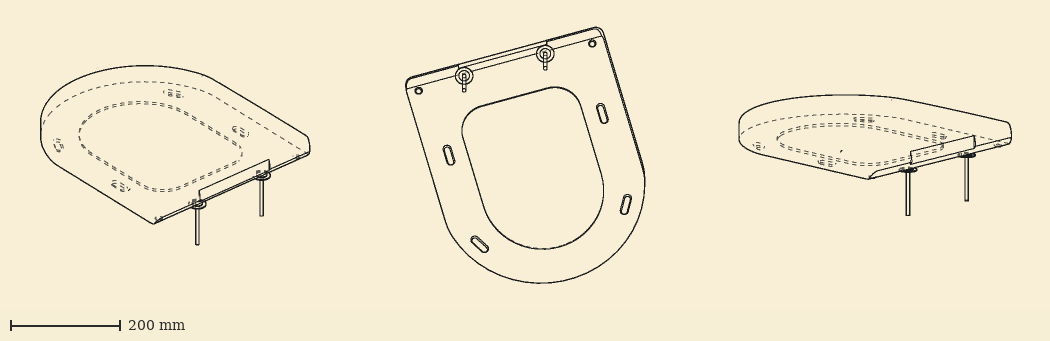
import cadquery as cq
import math


LENGTH = 445.0
WIDTH = 373.8
HEIGHT = 133.0

FRONT_RADIUS = 190.0
FLANK_RADIUS = 111.2
HALF_WIDTH = WIDTH / 2
REAR_X = LENGTH - FRONT_RADIUS
REAR_CORNER_RADIUS = 14.2

LID_HEIGHT = 45.5
CROWN_LENGTH_RADIUS = 9566.5
CROWN_WIDTH_RADIUS = 4894.5
CROWN_PEAK_X = 193.5
CROWN_DEPTH = 89.0
CROWN_HALF_ANGLE = 5.0
TOP_FILLET = 8.0
REAR_BULGE_RADIUS = 45.5
REAR_BULGE_Z = 18.0
UNDERCUT_TOP_Z = 16.0
UNDERCUT_BOTTOM_X = 243.0

RECESS_X = 251.5
RECESS_HALF_WIDTH = 83.5

FOOT_TIP_DIAMETER = 10.0
FOOT_BASE_DIAMETER = 13.5
FOOT_HEIGHT = 2.5
FOOT_X = 233.5
FOOT_Y = 164.5

SEAT_LENGTH = 298.0
SEAT_WIDTH = 223.5
SEAT_THICKNESS = 4.5
SEAT_FRONT_X = -123.5
SEAT_REAR_RADIUS = 49.0

PIN_DIAMETER = 6.5
FLANGE_DIAMETER = 32.0
HINGE_X = REAR_X - FLANGE_DIAMETER / 2
HINGE_Y = 77.0
FLANGE_BOTTOM_Z = -3.0
FLANGE_TOP_Z = -1.5
HUB_DIAMETER = 19.5
PIN_BOTTOM_Z = LID_HEIGHT - HEIGHT

BUMPER_LENGTH = 39.0
BUMPER_WIDTH = 14.5
BUMPER_TAPER = 25.0
BUMPER_HEIGHT = SEAT_THICKNESS
REAR_BUMPER_X = 99.5
REAR_BUMPER_Y = 145.5
FRONT_BUMPER_RADIUS = 160.0
FRONT_BUMPER_TILT = 30.0


def lid_outline():
    """D-shaped prism, with the flank arcs tangent to the front arc and to the straight sides."""
    flank_y = HALF_WIDTH - FLANK_RADIUS
    flank_distance = FRONT_RADIUS - FLANK_RADIUS
    flank_x = -math.sqrt(flank_distance**2 - flank_y**2)
    joint_x = flank_x * FRONT_RADIUS / flank_distance
    joint_y = flank_y * FRONT_RADIUS / flank_distance
    return (
        cq.Workplane("XY")
        .moveTo(REAR_X, HALF_WIDTH)
        .lineTo(flank_x, HALF_WIDTH)
        .tangentArcPoint((joint_x, joint_y), relative=False)
        .threePointArc((-FRONT_RADIUS, 0), (joint_x, -joint_y))
        .tangentArcPoint((flank_x, -HALF_WIDTH), relative=False)
        .lineTo(REAR_X, -HALF_WIDTH)
        .close()
        .extrude(LID_HEIGHT)
    )


def bulge_x(z):
    """X of the bulged rear face at height z."""
    return REAR_X - REAR_BULGE_RADIUS + math.sqrt(REAR_BULGE_RADIUS**2 - (z - REAR_BULGE_Z) ** 2)


def rear_profile():
    """Full-width block whose rear face is the bulge."""
    return (
        cq.Workplane("XZ")
        .moveTo(-FRONT_RADIUS, 0)
        .lineTo(bulge_x(0), 0)
        .threePointArc((REAR_X, REAR_BULGE_Z), (bulge_x(LID_HEIGHT), LID_HEIGHT))
        .lineTo(-FRONT_RADIUS, LID_HEIGHT)
        .close()
        .extrude(HALF_WIDTH, both=True)
    )


def crown():
    """Block with a top that curves gently along the length and across the width."""
    def top_z(x):
        rise = math.sqrt(CROWN_LENGTH_RADIUS**2 - (x - CROWN_PEAK_X) ** 2)
        return LID_HEIGHT - CROWN_LENGTH_RADIUS + rise

    axis_z = LID_HEIGHT - CROWN_WIDTH_RADIUS
    bottom_z = LID_HEIGHT - CROWN_DEPTH
    return (
        cq.Workplane("XZ")
        .moveTo(-FRONT_RADIUS, bottom_z)
        .lineTo(REAR_X, bottom_z)
        .lineTo(REAR_X, top_z(REAR_X))
        .threePointArc((CROWN_PEAK_X, LID_HEIGHT), (-FRONT_RADIUS, top_z(-FRONT_RADIUS)))
        .close()
        .revolve(2 * CROWN_HALF_ANGLE, (0, axis_z), (1, axis_z))
        .rotate((0, 0, axis_z), (1, 0, axis_z), -CROWN_HALF_ANGLE)
    )


def rear_undercut():
    """Wedge below the rear bulge."""
    return (
        cq.Workplane("XZ")
        .moveTo(UNDERCUT_BOTTOM_X, 0)
        .lineTo(REAR_X, UNDERCUT_TOP_Z)
        .lineTo(REAR_X, 0)
        .close()
        .extrude(HALF_WIDTH, both=True)
    )


def rear_recess():
    """Block that leaves a flat wall across the middle of the rear bulge."""
    return cq.Workplane("XY").box(
        REAR_X - RECESS_X, 2 * RECESS_HALF_WIDTH, LID_HEIGHT, centered=(False, True, False)
    ).translate((RECESS_X, 0, 0))


def lid_foot(side):
    """Tapered round foot on the given side (+1 or -1)."""
    taper = math.degrees(math.atan((FOOT_BASE_DIAMETER - FOOT_TIP_DIAMETER) / 2 / FOOT_HEIGHT))
    return (
        cq.Workplane("XY")
        .center(FOOT_X, side * FOOT_Y)
        .circle(FOOT_BASE_DIAMETER / 2)
        .extrude(-FOOT_HEIGHT, taper=taper)
    )


def make_lid():
    body = lid_outline().intersect(rear_profile())
    body = body.faces("<Y or >Y").edges(">X").fillet(REAR_CORNER_RADIUS)
    body = body.intersect(crown())
    body = body.faces(">Z").edges().fillet(TOP_FILLET)
    body = body.cut(rear_undercut()).cut(rear_recess())
    for side in (-1, 1):
        body = body.union(lid_foot(side))
    return body


def make_seat():
    """Plate with a round front and rounded rear corners."""
    radius = SEAT_WIDTH / 2
    rear_x = SEAT_FRONT_X + SEAT_LENGTH
    front_centre_x = SEAT_FRONT_X + radius
    return (
        cq.Workplane("XY")
        .moveTo(rear_x, radius)
        .lineTo(front_centre_x, radius)
        .threePointArc((SEAT_FRONT_X, 0), (front_centre_x, -radius))
        .lineTo(rear_x, -radius)
        .close()
        .extrude(-SEAT_THICKNESS)
        .edges("|Z and >X")
        .fillet(SEAT_REAR_RADIUS)
    )


def make_hinge(side):
    """Hub, flange and pin of one hinge as a single body."""
    def cylinder(diameter, bottom_z, top_z):
        plane = cq.Workplane("XY", origin=(HINGE_X, side * HINGE_Y, bottom_z))
        return plane.circle(diameter / 2).extrude(top_z - bottom_z)

    hub = cylinder(HUB_DIAMETER, FLANGE_TOP_Z, 0)
    flange = cylinder(FLANGE_DIAMETER, FLANGE_BOTTOM_Z, FLANGE_TOP_Z)
    pin = cylinder(PIN_DIAMETER, PIN_BOTTOM_Z, FLANGE_BOTTOM_Z)
    return hub.union(flange).union(pin)


def make_bumper(x, y, angle):
    """Tapered oblong pad, turned by the angle from the X axis."""
    return (
        cq.Workplane("XY")
        .slot2D(BUMPER_LENGTH, BUMPER_WIDTH)
        .extrude(-BUMPER_HEIGHT, taper=BUMPER_TAPER)
        .rotate((0, 0, 0), (0, 0, 1), angle)
        .translate((x, y, 0))
    )


lid = make_lid()
seat = make_seat()

front_bumper_x = -FRONT_BUMPER_RADIUS * math.sin(math.radians(FRONT_BUMPER_TILT))
front_bumper_y = FRONT_BUMPER_RADIUS * math.cos(math.radians(FRONT_BUMPER_TILT))
hinges = []
bumpers = []
for side in (-1, 1):
    hinges.append(make_hinge(side).val())
    bumpers.append(make_bumper(REAR_BUMPER_X, side * REAR_BUMPER_Y, 0).val())
    bumpers.append(make_bumper(front_bumper_x, side * front_bumper_y, side * FRONT_BUMPER_TILT).val())

result = cq.Compound.makeCompound([lid.val(), seat.val(), *hinges, *bumpers])